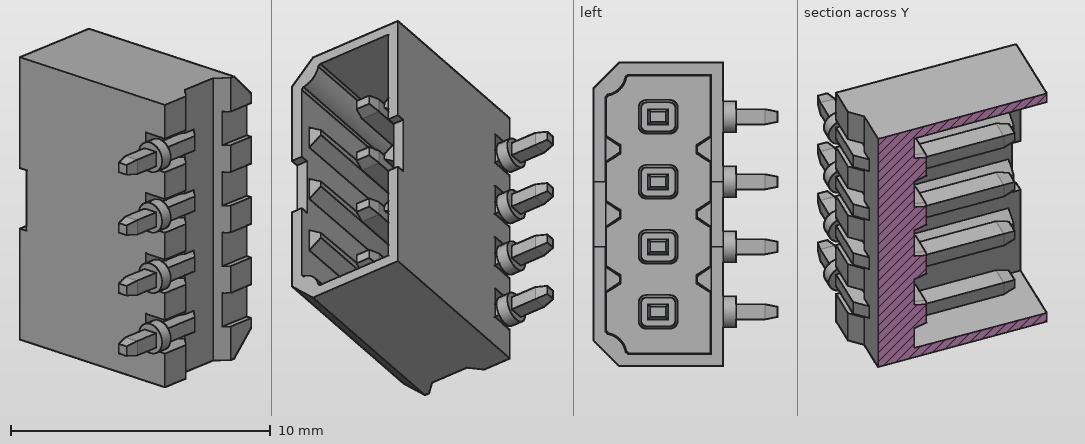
import cadquery as cq
import math


body_length = 7.5
body_depth = 5.0
body_height = 11.7
body_chamfer = 1.0
pin_count = 4
pitch = 2.5
row_y = body_depth / 2

wall = 0.47
board_wall = 0.45
cavity_depth = 5.5
cavity_draft = 0.4
key_offset = 1.35
key_near = 0.55
key_far = 1.24
key_crown = 1.01

rib_start = 0.5
far_rib_tip = 1.02
near_rib_tip = 1.0
rib_base_half = 0.49
rib_tip_half = 0.12
rib_draft = 0.041

notch_depth = 0.35
notch_height = pitch

boss_width = 1.51
boss_height = 1.3
boss_length = 0.5
boss_inset = 0.1
boss_radius = 0.3

pin_width = 0.8
pin_thickness = 0.6
pin_start = 1.2
pin_taper_length = 0.5
pin_taper_inset = 0.1
leg_end = -2.11
bend_y = 1.73
collar_diameter = 1.2
collar_length = 0.5

groove_depth = 0.48
groove_bottom = 1.7
groove_top = 3.32
pocket_depth = 1.0
pocket_height = 1.39
outlet_depth = 0.23

pin_levels = [(i - (pin_count - 1) / 2) * pitch for i in range(pin_count)]
rib_levels = [(low + high) / 2 for low, high in zip(pin_levels, pin_levels[1:])]
half_height = body_height / 2


def box(x_range, y_range, z_range):
    """Box between the given limits."""
    (x0, x1), (y0, y1), (z0, z1) = x_range, y_range, z_range
    return cq.Workplane("XY").box(x1 - x0, y1 - y0, z1 - z0, centered=False).translate((x0, y0, z0))


def extrude_z(points, height, level=0):
    """Prism along Z, centred on the given level, from an XY outline."""
    return cq.Workplane("XY").polyline(points).close().extrude(height / 2, both=True).translate((0, 0, level))


def make_shell():
    """Block with the two long edges on its +Y side chamfered."""
    block = box((0, body_length), (0, body_depth), (-half_height, half_height))
    return block.edges("|X and >Y").chamfer(body_chamfer)


def make_cavity():
    """Drafted cavity whose two +Y corners are filled by rounded keys."""
    def corner(side_offset, end_offset, sign):
        return (body_depth - side_offset, sign * (half_height - end_offset))

    floor_z = half_height - wall
    return (
        cq.Workplane("YZ")
        .moveTo(board_wall, -floor_z)
        .lineTo(*corner(key_offset, wall, -1))
        .lineTo(*corner(key_far, key_near, -1))
        .threePointArc(corner(key_crown, key_crown, -1), corner(key_near, key_far, -1))
        .lineTo(*corner(wall, key_offset, -1))
        .lineTo(*corner(wall, key_offset, 1))
        .lineTo(*corner(key_near, key_far, 1))
        .threePointArc(corner(key_crown, key_crown, 1), corner(key_far, key_near, 1))
        .lineTo(*corner(key_offset, wall, 1))
        .lineTo(board_wall, floor_z)
        .close()
        .extrude(cavity_depth, taper=cavity_draft)
    )


def make_rib(level, root_y, wall_y, tip_y):
    """Wedge on a long cavity wall, rooted in the wall and growing slightly towards the cavity floor."""
    toward_tip = math.copysign(1, tip_y - wall_y)

    def outline(growth):
        base = rib_base_half + growth
        tip = rib_tip_half + growth
        crest_y = tip_y + toward_tip * growth
        return [
            (root_y, level - base), (wall_y, level - base), (crest_y, level - tip),
            (crest_y, level + tip), (wall_y, level + base), (root_y, level + base),
        ]

    return (
        cq.Workplane("YZ", origin=(rib_start, 0, 0))
        .polyline(outline(0)).close()
        .workplane(offset=cavity_depth - rib_start)
        .polyline(outline(rib_draft)).close()
        .loft(ruled=True)
    )


def make_boss(level):
    """Rounded, tapered boss on the cavity floor."""
    taper = math.degrees(math.atan(boss_inset / boss_length))
    outline = cq.Sketch().rect(boss_width, boss_height).vertices().fillet(boss_radius)
    return (
        cq.Workplane("YZ", origin=(cavity_depth, row_y, level))
        .placeSketch(outline)
        .extrude(-boss_length, taper=taper)
    )


def make_tip(plane, width, height):
    """Tapered pin end growing from the given plane."""
    return (
        cq.Workplane(plane)
        .rect(width, height)
        .workplane(offset=pin_taper_length)
        .rect(width - 2 * pin_taper_inset, height - 2 * pin_taper_inset)
        .loft(ruled=True)
    )


def make_pin(level):
    """Bent pin: contact along X, chamfered bend, collar and tapered leg along -Y."""
    contact_x = pin_start + pin_taper_length
    leg_y = leg_end + pin_taper_length
    leg_front = body_length - pin_thickness
    leg_x = body_length - pin_thickness / 2
    low_y = row_y - pin_width / 2
    high_y = row_y + pin_width / 2
    bend_x = body_length - (high_y - bend_y)
    outline = [
        (contact_x, low_y), (leg_front, low_y), (leg_front, leg_y), (body_length, leg_y),
        (body_length, bend_y), (bend_x, high_y), (contact_x, high_y),
    ]
    contact_plane = cq.Plane(origin=(contact_x, row_y, level), xDir=(0, 1, 0), normal=(-1, 0, 0))
    leg_plane = cq.Plane(origin=(leg_x, leg_y, level), xDir=(1, 0, 0), normal=(0, -1, 0))
    collar_plane = cq.Plane(origin=(leg_x, 0, level), xDir=(1, 0, 0), normal=(0, -1, 0))
    collar = cq.Workplane(collar_plane).circle(collar_diameter / 2).extrude(collar_length)
    return (
        extrude_z(outline, pin_thickness, level)
        .union(make_tip(contact_plane, pin_width, pin_thickness))
        .union(make_tip(leg_plane, pin_thickness, pin_thickness))
        .union(collar)
    )


def make_groove():
    """Trapezoidal groove with 45 degree flanks along the whole rear."""
    floor_x = body_length - groove_depth
    outline = [
        (body_length, groove_bottom - groove_depth), (floor_x, groove_bottom),
        (floor_x, groove_top), (body_length, groove_top + groove_depth),
    ]
    return extrude_z(outline, body_height)


def make_pocket(level):
    """Leg clearance: deep at the board side, stepping at 45 degrees to the groove and out at +Y."""
    pocket_x = body_length - pocket_depth
    groove_x = body_length - groove_depth
    outlet_x = body_length - outlet_depth
    outline = [
        (body_length, 0), (pocket_x, 0), (pocket_x, groove_bottom - (groove_x - pocket_x)),
        (groove_x, groove_bottom), (groove_x, groove_top), (outlet_x, groove_top + outlet_x - groove_x),
        (outlet_x, body_depth), (body_length, body_depth),
    ]
    return extrude_z(outline, pocket_height, level)


result = make_shell().cut(make_cavity())

for rib_level in rib_levels:
    far_rib = make_rib(rib_level, body_depth - wall / 2, body_depth - wall, body_depth - far_rib_tip)
    near_rib = make_rib(rib_level, board_wall / 2, board_wall, near_rib_tip)
    result = result.union(far_rib).union(near_rib)

result = result.cut(box((0, notch_depth), (0, body_depth), (-notch_height / 2, notch_height / 2)))
result = result.cut(make_groove())

for pin_level in pin_levels:
    result = result.cut(make_pocket(pin_level))
    result = result.union(make_boss(pin_level)).union(make_pin(pin_level))